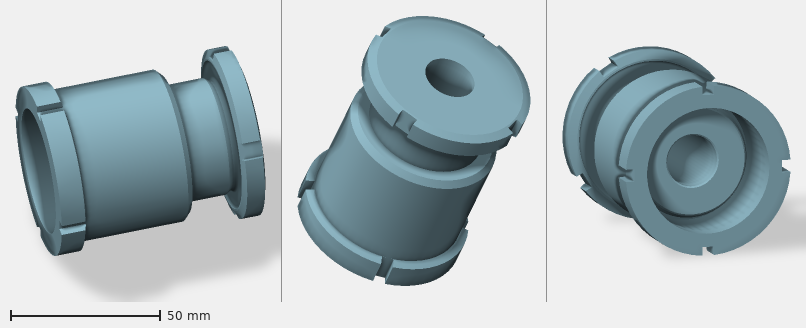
import cadquery as cq
import math


FLANGE_RADIUS = 29.0
FLANGE_LENGTH = 9.1
FLANGE_CHAMFER_LENGTH = 0.85
FLANGE_CHAMFER_RADIUS = 26.5
BARREL_RADIUS = 26.0
BARREL_CHAMFER = 2.0
HOUSING_LENGTH = 46.9
BORE_RADIUS = 21.5
BORE_DEPTH = 25.0
HOUSING_SLOT_WIDTH = 4.2

THREAD_RADIUS = 20.0
CORE_RADIUS = 18.9
THREAD_END_RADIUS = 19.2
THREAD_CHAMFER_LENGTH = 1.2
RUNOUT_LENGTH = 0.5
RELIEF_LENGTH = 1.0
TIP_CHAMFER = 0.6
SPINDLE_FRONT = 17.6
SPINDLE_REAR = 71.73
HOLE_RADIUS = 8.75
HOLE_CHAMFER = 0.5
DISC_RADIUS = 29.0
DISC_LENGTH = 8.1
DISC_CHAMFER_LENGTH = 0.95
DISC_FACE_RADIUS = 26.0
RECESS_RADIUS = 25.4
RECESS_DEPTH = 0.7
RECESS_FILLET = 1.0
DISC_SLOT_WIDTH = 6.0
DISC_SLOT_FLOOR = 26.5
SPINDLE_TURN = 32.2

SLOT_COUNT = 4


def revolve_outline(outline):
    """Close an outline drawn with x as radius and turn it about the Y axis."""
    return outline.close().revolve(360, (0, 0), (0, 1))


def cut_slots(body, width, floor_radius, outer_radius, start, end, turn=0):
    """Cut equally spaced rim slots, the first at the angle turn from +Z towards -X."""
    slot = (
        cq.Workplane("XY")
        .box(width, end - start, outer_radius, centered=(True, False, False))
        .translate((0, start, floor_radius))
    )
    for index in range(SLOT_COUNT):
        angle = -turn + index * 360 / SLOT_COUNT
        body = body.cut(slot.rotate((0, 0, 0), (0, 1, 0), angle))
    return body


def make_housing():
    outline = cq.Workplane("XY").polyline([
        (BORE_RADIUS, 0),
        (FLANGE_RADIUS, 0),
        (FLANGE_RADIUS, FLANGE_LENGTH - FLANGE_CHAMFER_LENGTH),
        (FLANGE_CHAMFER_RADIUS, FLANGE_LENGTH),
        (BARREL_RADIUS, FLANGE_LENGTH),
        (BARREL_RADIUS, HOUSING_LENGTH - BARREL_CHAMFER),
        (BARREL_RADIUS - BARREL_CHAMFER, HOUSING_LENGTH),
        (THREAD_RADIUS, HOUSING_LENGTH),
        (THREAD_RADIUS, BORE_DEPTH),
        (BORE_RADIUS, BORE_DEPTH),
    ])
    body = revolve_outline(outline)
    return cut_slots(body, HOUSING_SLOT_WIDTH, BARREL_RADIUS, FLANGE_RADIUS, 0, FLANGE_LENGTH)


def make_spindle():
    disc_front = SPINDLE_REAR - DISC_LENGTH
    thread_front = SPINDLE_FRONT + TIP_CHAMFER + RELIEF_LENGTH
    thread_rear = disc_front - RELIEF_LENGTH
    thread_end_length = RUNOUT_LENGTH + THREAD_CHAMFER_LENGTH

    recess_floor = disc_front + RECESS_DEPTH
    fillet_start = recess_floor - RECESS_FILLET
    outer_fillet_width = math.sqrt(RECESS_FILLET**2 - (RECESS_FILLET - RECESS_DEPTH) ** 2)

    outline = (
        cq.Workplane("XY")
        .moveTo(HOLE_RADIUS, SPINDLE_FRONT + HOLE_CHAMFER)
        .lineTo(HOLE_RADIUS + HOLE_CHAMFER, SPINDLE_FRONT)
        .lineTo(CORE_RADIUS - TIP_CHAMFER, SPINDLE_FRONT)
        .lineTo(CORE_RADIUS, SPINDLE_FRONT + TIP_CHAMFER)
        .lineTo(CORE_RADIUS, thread_front)
        .lineTo(THREAD_END_RADIUS, thread_front + RUNOUT_LENGTH)
        .lineTo(THREAD_RADIUS, thread_front + thread_end_length)
        .lineTo(THREAD_RADIUS, thread_rear - thread_end_length)
        .lineTo(THREAD_END_RADIUS, thread_rear - RUNOUT_LENGTH)
        .lineTo(CORE_RADIUS, thread_rear)
        .lineTo(CORE_RADIUS, fillet_start)
        .radiusArc((CORE_RADIUS + RECESS_FILLET, recess_floor), RECESS_FILLET)
        .lineTo(RECESS_RADIUS - outer_fillet_width, recess_floor)
        .radiusArc((RECESS_RADIUS, disc_front), RECESS_FILLET)
        .lineTo(DISC_FACE_RADIUS, disc_front)
        .lineTo(DISC_RADIUS, disc_front + DISC_CHAMFER_LENGTH)
        .lineTo(DISC_RADIUS, SPINDLE_REAR - DISC_CHAMFER_LENGTH)
        .lineTo(DISC_FACE_RADIUS, SPINDLE_REAR)
        .lineTo(HOLE_RADIUS, SPINDLE_REAR)
    )
    body = revolve_outline(outline).rotate((0, 0, 0), (0, 1, 0), -SPINDLE_TURN)
    return cut_slots(
        body, DISC_SLOT_WIDTH, DISC_SLOT_FLOOR, DISC_RADIUS, disc_front, SPINDLE_REAR, SPINDLE_TURN
    )


housing = make_housing()
spindle = make_spindle()

result = cq.Compound.makeCompound([housing.val(), spindle.val()])